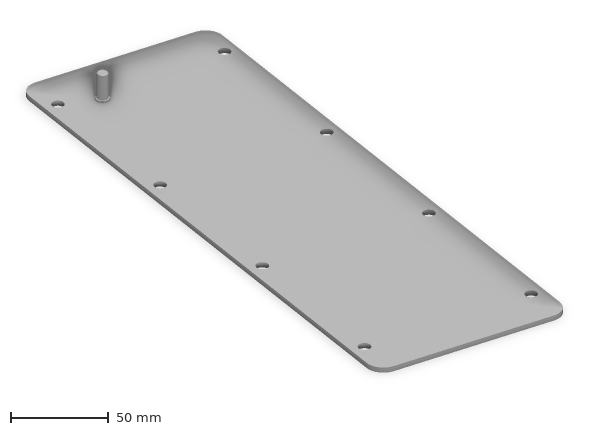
import cadquery as cq

PLATE_LENGTH = 344.0
PLATE_WIDTH = 117.0
PLATE_THICKNESS = 3.0
CORNER_RADIUS = 10.0

HOLE_DIAMETER = 7.0
HOLES_PER_ROW = 4
HOLE_END_MARGIN = 25.0
HOLE_SIDE_MARGIN = 8.0
HOLE_PITCH = (PLATE_LENGTH - 2 * HOLE_END_MARGIN) / (HOLES_PER_ROW - 1)
ROW_SPACING = PLATE_WIDTH - 2 * HOLE_SIDE_MARGIN

STUD_DIAMETER = 6.0
STUD_HEIGHT = 16.0
STUD_CHAMFER = 0.5
FLANGE_DIAMETER = 7.5
FLANGE_HEIGHT = 1.0
STUD_END_MARGIN = 33.0
STUD_SIDE_MARGIN = 30.0
STUD_X = STUD_END_MARGIN - PLATE_LENGTH / 2
STUD_Y = STUD_SIDE_MARGIN - PLATE_WIDTH / 2


def make_plate():
    """Round-cornered plate with its underside on Z = 0, centred on the Z axis."""
    plate = (
        cq.Workplane("XY")
        .rect(PLATE_LENGTH, PLATE_WIDTH)
        .extrude(PLATE_THICKNESS)
        .edges("|Z")
        .fillet(CORNER_RADIUS)
    )
    holes = (
        cq.Workplane("XY")
        .rarray(HOLE_PITCH, ROW_SPACING, HOLES_PER_ROW, 2)
        .circle(HOLE_DIAMETER / 2)
        .extrude(PLATE_THICKNESS)
    )
    return plate.cut(holes)


def make_stud():
    """Flanged stud with a chamfered tip, standing on the top face of the plate."""
    base = cq.Workplane("XY", origin=(STUD_X, STUD_Y, PLATE_THICKNESS))
    shank = base.circle(STUD_DIAMETER / 2).extrude(STUD_HEIGHT)
    shank = shank.faces(">Z").chamfer(STUD_CHAMFER)
    flange = base.circle(FLANGE_DIAMETER / 2).extrude(FLANGE_HEIGHT)
    return shank.union(flange)


result = make_plate().union(make_stud())